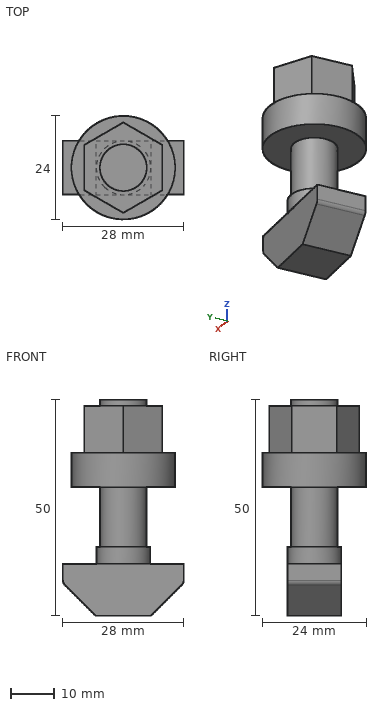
import cadquery as cq
import math


head_length = 28.0
head_width = 12.5
head_height = 12.0
head_bottom_length = 12.8
head_slope_angle = 45.0
head_corner_radius = 1.5

collar_diameter = head_width
collar_height = 3.95
stud_diameter = 10.83
total_height = 50.0

washer_diameter = 24.0
washer_height = 8.0
nut_sides = 6
nut_across_flats = 18.1
nut_height = 10.8
stud_protrusion = 1.45

nut_bottom = total_height - stud_protrusion - nut_height
washer_bottom = nut_bottom - washer_height


def cylinder(diameter, bottom, height):
    """Upright cylinder on the Z axis."""
    return cq.Workplane("XY").workplane(offset=bottom).circle(diameter / 2).extrude(height)


def make_head():
    """Head profile in XZ, symmetric about Z, with rounded shoulders above the slopes."""
    half_length = head_length / 2
    half_bottom = head_bottom_length / 2
    shoulder = (half_length - half_bottom) * math.tan(math.radians(head_slope_angle))
    profile = [
        (-half_bottom, 0),
        (half_bottom, 0),
        (half_length, shoulder),
        (half_length, head_height),
        (-half_length, head_height),
        (-half_length, shoulder),
    ]
    block = cq.Workplane("XZ").polyline(profile).close().extrude(head_width / 2, both=True)
    for side in (-1, 1):
        shoulder_edge = cq.selectors.NearestToPointSelector((side * half_length, 0, shoulder))
        block = block.edges(shoulder_edge).fillet(head_corner_radius)
    return block


def make_nut():
    """Hexagonal prism with flats facing -X and +X."""
    across_corners = nut_across_flats / math.cos(math.pi / nut_sides)
    return (
        cq.Workplane("XY")
        .workplane(offset=nut_bottom)
        .transformed(rotate=(0, 0, 90))
        .polygon(nut_sides, across_corners)
        .extrude(nut_height)
    )


head = make_head()
collar = cylinder(collar_diameter, head_height, collar_height)
stud = cylinder(stud_diameter, head_height, total_height - head_height)
washer = cylinder(washer_diameter, washer_bottom, washer_height)
nut = make_nut()

result = head.union(collar).union(stud).union(washer).union(nut)